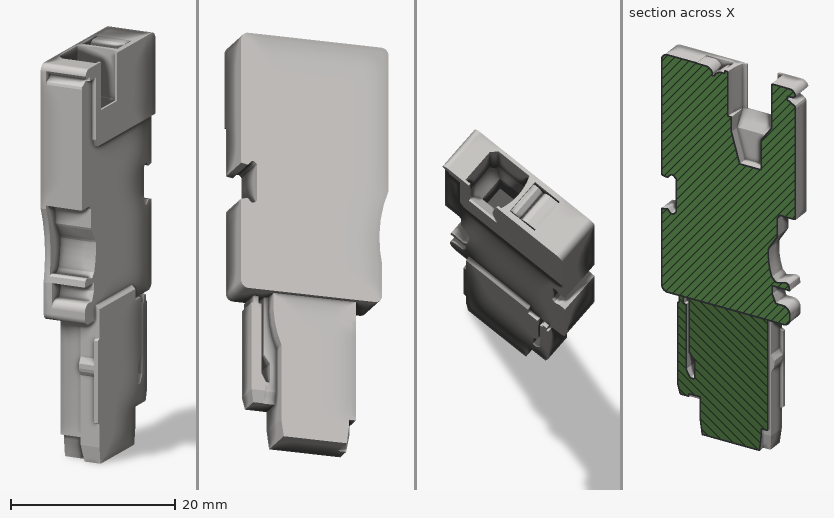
import cadquery as cq


total_height = 50.95
depth = 19.0
full_width = 6.1

housing_width = 5.6
housing_bottom = 18.25
corner_radius = 0.9
side_wall = 0.75
lower_front = 0.8
finger_hollow_top = 32.65
finger_hollow_middle = (1.15, 27.0)
finger_hollow_bottom = 23.15

pad_front = 2.8
pad_bottom = 40.45
pad_bevel_height = 0.95
pad_bevel_depth = 0.55
hook_underside = 49.3

notch_floor = 16.95
notch_middle = 31.9
notch_half_height = 2.3
notch_nib_half_height = 2.15
notch_nib_y = 18.15
notch_groove_half_height = 2.65
notch_groove_near = 17.7
notch_groove_far = 17.3

funnel_left = 0.45
funnel_right = 5.8
funnel_front = 3.4
funnel_back = 9.05
funnel_corner = 0.75
funnel_back_bulge = 0.5
funnel_rim = 44.85
throat_left = 1.0
throat_right = 4.45
throat_front = 4.9
throat_top = 42.8
throat_floor_back = 7.9
throat_floor = 38.7
gap_front = 4.2
gap_back = 8.55

slot_left = 0.6
slot_right = 5.4
slot_front = 10.1
slot_back = 14.0
slot_floor = 48.9
slot_side_gap = 0.2
release_top = 50.9
release_crest = 12.7
release_round_middle = (12.2, 50.7)
release_round_foot = (11.75, 50.2)
release_groove_bottom = 49.85
release_groove_front = 11.55
release_ramp_foot = (11.4, 50.15)
release_ramp_head = (10.8, 50.6)

hook_tip_z = 50.2
hook_root = (0.3, 49.85)
hook_notch_depth = 1.15
hook_notch_ceiling = 49.8
hook_notch_floor = 49.35
hook_notch_lip = (0.1, 48.75)
hook_notch_foot = 48.45

recess_ceiling = 33.1
recess_depth = 2.55
recess_corner_start = 2.25
recess_corner_end = 32.65
recess_wall_foot = 30.2
overhang_top = (2.7, 29.9)
overhang_foot = (3.7, 28.35)
scoop_top = (3.8, 28.05)
scoop_middle = (3.75, 26.25)
scoop_foot = (3.35, 24.4)
lip_groove = (2.8, 23.8)
lip_crest = (1.65, 24.1)
lip_round_middle = (1.05, 24.0)
lip_front_z = 23.7

lower_recess_left = 1.1
lower_recess_depth = 3.3
lower_recess_wall_foot = 22.05
lower_recess_slope_top = (3.15, 21.75)
ledge_back = 2.8
ledge_top = 20.9
ledge_round_start = 1.9
ledge_round_middle = (1.1, 20.6)
ledge_front_z = 19.9

plug_left = side_wall
plug_step_x = 3.55
plug_front = 3.75
plug_left_front = 3.9
plug_back = 13.55
plug_shoulder_back = 14.55
shoulder_bottom = 11.65
shoulder_curve_top = 16.2
shoulder_curve_middle = (14.3, 14.1)
plug_taper = 0.3
plug_taper_height = 2.15
toe_top = 3.05
toe_back = 4.85
toe_bottom_back = 5.1
toe_bottom_x = 3.9
tab_top = 20.1
tab_bevel = 0.45

fin_front = 3.3
fin_top = 15.95
fin_bottom = 5.1
fin_bevel = 0.2
nub_top = 13.35
nub_shoulder = (3.55, 13.0)
nub_crest_top = 12.6
nub_crest_bottom = 11.95
nub_underside = (3.4, 11.55)
nub_bottom = 11.0

latch_left = 2.55
web_back = 15.1
web_slope_top = 10.85
web_slope_foot = (14.3, 9.8)
latch_inner = 15.5
latch_outer = 16.75
latch_bottom = 4.75
latch_taper_top = 6.2
latch_taper = 0.4
latch_head = 17.3
latch_root_top = 7.4
web_left = 2.75
arm_root_front = 14.95
arm_toe_front = 15.15
arm_root_slope_top = 8.4
web_bevel = 0.4
arm_bevel = 0.5
latch_neck_front = 15.85
latch_neck_back = 16.5


def side_profile(points, x_start, x_end):
    """Prism with a closed straight-sided Y-Z outline, between two X positions."""
    return cq.Workplane("YZ", origin=(x_start, 0, 0)).polyline(points).close().extrude(x_end - x_start)


def block(x_range, y_range, z_range):
    """Box between two corners, given as ranges along each axis."""
    size = [high - low for low, high in (x_range, y_range, z_range)]
    return cq.Workplane().box(*size, centered=False).translate((x_range[0], y_range[0], z_range[0]))


def flat_loft(bottom, top):
    """Tapered pocket between two level rectangles, each (left, right, front, back, height)."""
    left, right, front, back, height = bottom
    top_left, top_right, top_front, top_back, top_height = top
    return (
        cq.Workplane("XY", origin=(0, 0, height))
        .center((left + right) / 2, (front + back) / 2)
        .rect(right - left, back - front)
        .workplane(offset=top_height - height)
        .center((top_left + top_right - left - right) / 2, (top_front + top_back - front - back) / 2)
        .rect(top_right - top_left, top_back - top_front)
        .loft(combine=True)
    )


def housing_outline(width):
    """Rounded side outline with the finger hollow in its front edge."""
    return (
        cq.Workplane("YZ")
        .moveTo(0, total_height)
        .lineTo(0, finger_hollow_top)
        .threePointArc(finger_hollow_middle, (lower_front, finger_hollow_bottom))
        .lineTo(lower_front, housing_bottom)
        .lineTo(depth, housing_bottom)
        .lineTo(depth, total_height)
        .close()
        .extrude(width)
        .edges("|X and (>Z or <Z)")
        .fillet(corner_radius)
    )


def side_pad():
    """Raised region of the +X side, with a bevelled lower front edge."""
    region = side_profile(
        [
            (0, hook_underside),
            (0, total_height),
            (depth, total_height),
            (depth, pad_bottom),
            (pad_front + pad_bevel_depth, pad_bottom),
            (pad_front, pad_bottom + pad_bevel_height),
            (pad_front, hook_underside),
        ],
        housing_width,
        full_width,
    )
    return housing_outline(full_width).intersect(region)


def rail_notch():
    """Notch across the back, with a nib and a groove at each end of its mouth."""
    half = [
        (depth, notch_half_height),
        (notch_nib_y, notch_nib_half_height),
        (notch_groove_near, notch_groove_half_height),
        (notch_groove_far, notch_groove_half_height),
        (notch_floor, notch_half_height),
    ]
    upper = [(y, notch_middle + height) for y, height in half]
    lower = [(y, notch_middle - height) for y, height in reversed(half)]
    return side_profile(upper + lower, 0, full_width)


def well_outline(z_start, z_end):
    """Upright prism with the plan shape of the well: one cut corner and a bowed back."""
    return (
        cq.Workplane("XY", origin=(0, 0, z_start))
        .moveTo(funnel_left, funnel_front + funnel_corner)
        .lineTo(funnel_left + funnel_corner, funnel_front)
        .lineTo(funnel_right, funnel_front)
        .lineTo(funnel_right, funnel_back)
        .threePointArc(
            ((funnel_left + funnel_right) / 2, funnel_back + funnel_back_bulge), (funnel_left, funnel_back)
        )
        .close()
        .extrude(z_end - z_start)
    )


def wire_funnel():
    """Entry well with a bowed back wall, a sloped rim, a throat and a gap in the +X wall."""
    well = well_outline(funnel_rim, total_height)
    throat_mouth = (throat_left, throat_right, throat_front, funnel_back, throat_top)
    rim = (
        flat_loft(throat_mouth, (funnel_left, funnel_right, funnel_front, funnel_back, funnel_rim))
        .intersect(well_outline(throat_top, funnel_rim))
    )
    throat = flat_loft(
        (throat_left, throat_right, throat_front, throat_floor_back, throat_floor), throat_mouth
    )
    gap = block((housing_width, full_width), (gap_front, gap_back), (funnel_rim, total_height))
    return well.union(rim).union(throat).union(gap)


def release_slot():
    return block((slot_left, slot_right), (slot_front, slot_back), (slot_floor, total_height))


def release_lever():
    """Rounded lever, groove and ramp that stand in the release slot."""
    return (
        cq.Workplane("YZ", origin=(slot_left + slot_side_gap, 0, 0))
        .moveTo(slot_back, slot_floor)
        .lineTo(slot_back, release_top)
        .lineTo(release_crest, release_top)
        .threePointArc(release_round_middle, release_round_foot)
        .lineTo(release_round_foot[0], release_groove_bottom)
        .lineTo(release_groove_front, release_groove_bottom)
        .lineTo(*release_ramp_foot)
        .lineTo(*release_ramp_head)
        .lineTo(slot_front, release_ramp_head[1])
        .lineTo(slot_front, slot_floor)
        .close()
        .extrude(slot_right - slot_left - 2 * slot_side_gap)
    )


def hook_notch():
    """Notch under the rounded front edge of the top."""
    return side_profile(
        [
            (0, hook_tip_z),
            hook_root,
            (hook_notch_depth, hook_notch_ceiling),
            (hook_notch_depth, hook_notch_floor),
            hook_notch_lip,
            (0, hook_notch_foot),
        ],
        side_wall,
        full_width,
    )


def finger_recess():
    """Hollow above the finger grip, ending in a curled lip at its foot."""
    return (
        cq.Workplane("YZ", origin=(side_wall, 0, 0))
        .moveTo(0, recess_ceiling)
        .lineTo(recess_corner_start, recess_ceiling)
        .lineTo(recess_depth, recess_corner_end)
        .lineTo(recess_depth, recess_wall_foot)
        .lineTo(*overhang_top)
        .lineTo(*overhang_foot)
        .lineTo(*scoop_top)
        .threePointArc(scoop_middle, scoop_foot)
        .lineTo(*lip_groove)
        .lineTo(*lip_crest)
        .threePointArc(lip_round_middle, (lower_front, lip_front_z))
        .lineTo(0, lip_front_z)
        .close()
        .extrude(full_width - side_wall)
    )


def lower_recess():
    """Recess under the lip, with a rounded ledge below it."""
    return (
        cq.Workplane("YZ", origin=(lower_recess_left, 0, 0))
        .moveTo(lower_front, finger_hollow_bottom)
        .lineTo(lower_recess_depth, finger_hollow_bottom)
        .lineTo(lower_recess_depth, lower_recess_wall_foot)
        .lineTo(*lower_recess_slope_top)
        .lineTo(ledge_back, ledge_top)
        .lineTo(ledge_round_start, ledge_top)
        .threePointArc(ledge_round_middle, (lower_front, ledge_front_z))
        .close()
        .extrude(full_width - lower_recess_left)
    )


def make_housing():
    return (
        housing_outline(housing_width)
        .union(side_pad())
        .cut(rail_notch())
        .cut(wire_funnel())
        .cut(release_slot())
        .union(release_lever())
        .cut(hook_notch())
        .cut(finger_recess())
        .cut(lower_recess())
    )


def plug_core():
    """Tapered plug block with a curved shoulder at the back."""
    return (
        cq.Workplane("YZ", origin=(plug_left, 0, 0))
        .moveTo(plug_front, housing_bottom)
        .lineTo(plug_front, plug_taper_height)
        .lineTo(plug_front + plug_taper, 0)
        .lineTo(plug_back - plug_taper, 0)
        .lineTo(plug_back, plug_taper_height)
        .lineTo(plug_back, shoulder_bottom)
        .threePointArc(shoulder_curve_middle, (plug_shoulder_back, shoulder_curve_top))
        .lineTo(plug_shoulder_back, housing_bottom)
        .close()
        .extrude(full_width - plug_left)
    )


def side_tab():
    """Tab that reaches up along the +X side of the housing."""
    return block(
        (housing_width, full_width), (plug_front, plug_back), (housing_bottom, tab_top)
    ).edges(">X and >Z").chamfer(tab_bevel)


def left_front_step():
    """Shallow step of the front face on the -X half."""
    return block((plug_left, plug_step_x), (plug_front, plug_left_front), (0, housing_bottom))


def toe_cut():
    """Corner cut at the foot of the -X half, widening toward the bottom."""
    upper = block((plug_left, plug_step_x), (plug_front, toe_back), (plug_taper_height, toe_top))
    lower = flat_loft(
        (plug_left, toe_bottom_x, plug_front, toe_bottom_back, 0),
        (plug_left, plug_step_x, plug_front, toe_back, plug_taper_height),
    )
    return upper.union(lower)


def front_fin():
    """Thin fin along the +X edge of the plug front."""
    return side_profile(
        [
            (plug_front, fin_top),
            (fin_front, fin_top - fin_bevel),
            (fin_front, fin_bottom + fin_bevel),
            (plug_front, fin_bottom),
        ],
        housing_width,
        full_width,
    )


def front_nub():
    """Small ridge across the +X half of the plug front."""
    return side_profile(
        [
            (plug_front, nub_top),
            nub_shoulder,
            (fin_front, nub_crest_top),
            (fin_front, nub_crest_bottom),
            nub_underside,
            (plug_front, nub_bottom),
        ],
        plug_step_x,
        housing_width,
    )


def latch_web():
    """Web on the plug back that carries the latch arm at its foot."""
    return side_profile(
        [
            (plug_back, housing_bottom),
            (web_back, housing_bottom),
            (web_back, web_slope_top),
            web_slope_foot,
            (web_slope_foot[0], latch_root_top),
            (arm_root_front, latch_root_top),
            (arm_toe_front, latch_bottom),
            (plug_back, latch_bottom),
        ],
        web_left,
        full_width,
    )


def latch_arm():
    """Upright arm, tapered at the foot and necked where it meets the housing."""
    return side_profile(
        [
            (arm_root_front, latch_root_top),
            (latch_inner, arm_root_slope_top),
            (latch_inner, latch_head),
            (latch_neck_front, latch_head),
            (latch_neck_front, housing_bottom),
            (latch_neck_back, housing_bottom),
            (latch_neck_back, latch_head),
            (latch_outer, latch_head),
            (latch_outer, latch_taper_top),
            (latch_outer - latch_taper, latch_bottom),
            (arm_toe_front, latch_bottom),
        ],
        latch_left,
        full_width,
    )


def latch_foot_bevel(left, bevel):
    """Wedge that bevels the lower -X edge of the web or the arm."""
    return (
        cq.Workplane("XZ", origin=(0, plug_back, 0))
        .polyline(
            [(left, latch_bottom), (left, latch_taper_top), (left + bevel, latch_bottom)]
        )
        .close()
        .extrude(plug_back - latch_outer)
    )


def spring_latch():
    web = latch_web().cut(latch_foot_bevel(web_left, web_bevel))
    arm = latch_arm().cut(latch_foot_bevel(latch_left, arm_bevel))
    return web.union(arm)


def make_plug():
    return (
        plug_core()
        .cut(left_front_step())
        .cut(toe_cut())
        .union(side_tab())
        .union(front_fin())
        .union(front_nub())
        .union(spring_latch())
    )


housing = make_housing()
plug = make_plug()
result = cq.Compound.makeCompound([housing.solids().val(), plug.solids().val()])